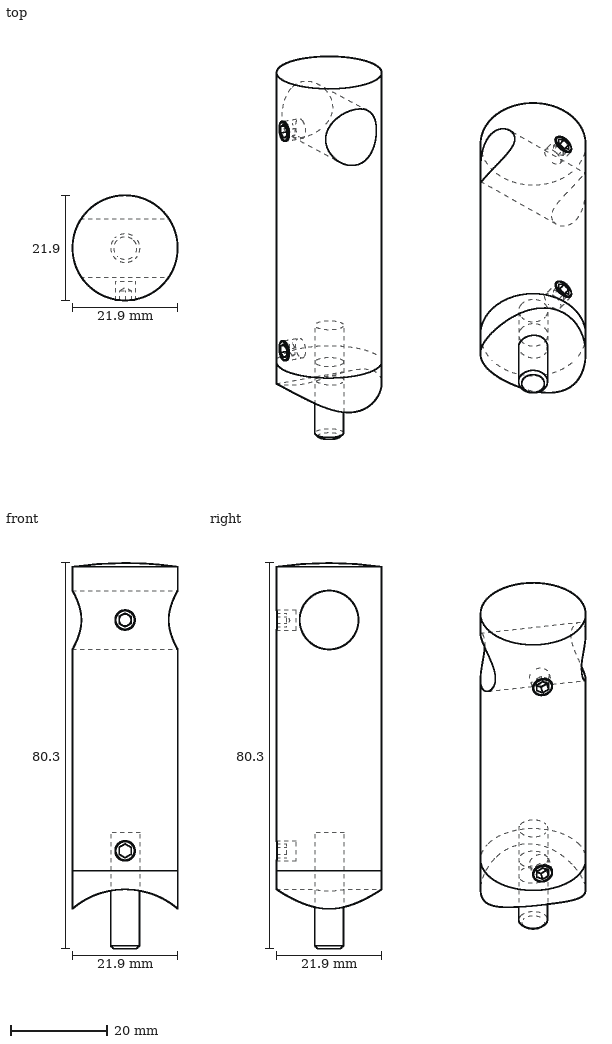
import cadquery as cq
import math

TOTAL_HEIGHT = 80.3
POST_DIAMETER = 21.9
POST_RADIUS = POST_DIAMETER / 2

DOME_HEIGHT = 0.8
SHOULDER_Z = TOTAL_HEIGHT - DOME_HEIGHT
SEAM_Z = 16.2
BORE_DIAMETER = 12.2
BORE_Z = 68.45

TUBE_RADIUS = 16.9
SADDLE_CROWN_Z = 12.4
TUBE_AXIS_Z = SADDLE_CROWN_Z - TUBE_RADIUS

STUD_DIAMETER = 6.0
STUD_TIP_DIAMETER = 4.7
STUD_CHAMFER = (STUD_DIAMETER - STUD_TIP_DIAMETER) / 2
STUD_ENGAGEMENT = 8.0
STUD_TOP_Z = SEAM_Z + STUD_ENGAGEMENT

SCREW_DIAMETER = 4.2
SCREW_CHAMFER = 0.2
SCREW_FACE_Y = -10.9
SCREW_LENGTH = 4.0
SCREW_END_Y = SCREW_FACE_Y + SCREW_LENGTH
SOCKET_FLATS = 2.5
SOCKET_DEPTH = 2.0
CONE_ANGLE = 120.0
UPPER_SCREW_Z = BORE_Z
LOWER_SCREW_Z = 20.4


def cylinder_along_z(diameter, bottom_z, top_z):
    return cq.Workplane("XY").workplane(offset=bottom_z).circle(diameter / 2).extrude(top_z - bottom_z)


def cylinder_along_y(diameter, start_y, end_y, axis_z):
    """Cylinder centred on X = 0 that runs from start_y to end_y."""
    plane = cq.Plane(origin=(0, start_y, axis_z), xDir=(1, 0, 0), normal=(0, 1, 0))
    return cq.Workplane(plane).circle(diameter / 2).extrude(end_y - start_y)


def make_post():
    """Domed cylinder with the cross bore, the stud hole and the two screw holes."""
    dome_radius = (POST_RADIUS**2 + DOME_HEIGHT**2) / (2 * DOME_HEIGHT)
    dome_mid_x = POST_RADIUS / 2
    dome_mid_z = TOTAL_HEIGHT - dome_radius + math.sqrt(dome_radius**2 - dome_mid_x**2)
    body = (
        cq.Workplane("XZ")
        .moveTo(0, SEAM_Z)
        .lineTo(POST_RADIUS, SEAM_Z)
        .lineTo(POST_RADIUS, SHOULDER_Z)
        .threePointArc((dome_mid_x, dome_mid_z), (0, TOTAL_HEIGHT))
        .close()
        .revolve(360, (0, 0), (0, 1))
    )
    cross_bore = (
        cq.Workplane("YZ").center(0, BORE_Z).circle(BORE_DIAMETER / 2).extrude(POST_RADIUS, both=True)
    )
    body = body.cut(cross_bore)
    body = body.cut(cylinder_along_z(STUD_DIAMETER, SEAM_Z, STUD_TOP_Z))
    for screw_z in (UPPER_SCREW_Z, LOWER_SCREW_Z):
        body = body.cut(cylinder_along_y(SCREW_DIAMETER, -POST_RADIUS, SCREW_END_Y, screw_z))
    return body


def make_saddle():
    """Collar with a tube-shaped underside and a hole for the stud."""
    collar = cylinder_along_z(POST_DIAMETER, 0, SEAM_Z)
    tube = cylinder_along_y(2 * TUBE_RADIUS, -POST_RADIUS, POST_RADIUS, TUBE_AXIS_Z)
    return collar.cut(tube).cut(cylinder_along_z(STUD_DIAMETER, 0, SEAM_Z))


def make_stud():
    return cylinder_along_z(STUD_DIAMETER, 0, STUD_TOP_Z).faces("<Z").chamfer(STUD_CHAMFER)


def make_set_screw(axis_z, drilled):
    """Set screw with a hexagon socket; a drilled socket ends in a cone, the other is flat."""
    screw = cylinder_along_y(SCREW_DIAMETER, SCREW_FACE_Y, SCREW_END_Y, axis_z)
    screw = screw.faces("<Y").chamfer(SCREW_CHAMFER)
    socket_plane = cq.Plane(origin=(0, SCREW_FACE_Y, axis_z), xDir=(1, 0, 0), normal=(0, 1, 0))
    socket = cq.Workplane(socket_plane).polygon(6, SOCKET_FLATS, circumscribed=True).extrude(SOCKET_DEPTH)
    screw = screw.cut(socket)
    if drilled:
        cone_radius = SOCKET_FLATS / 2
        cone_depth = cone_radius / math.tan(math.radians(CONE_ANGLE / 2))
        cone_base = cq.Vector(0, SCREW_FACE_Y + SOCKET_DEPTH, axis_z)
        cone = cq.Solid.makeCone(cone_radius, 0, cone_depth, cone_base, cq.Vector(0, 1, 0))
        screw = screw.cut(cq.Workplane(cone))
    return screw


post = make_post()
saddle = make_saddle()
stud = make_stud()
set_screws = [
    make_set_screw(axis_z, drilled)
    for axis_z, drilled in ((UPPER_SCREW_Z, True), (LOWER_SCREW_Z, False))
]

result = cq.Compound.makeCompound(
    [post.val(), saddle.val(), stud.val(), *[screw.val() for screw in set_screws]]
)